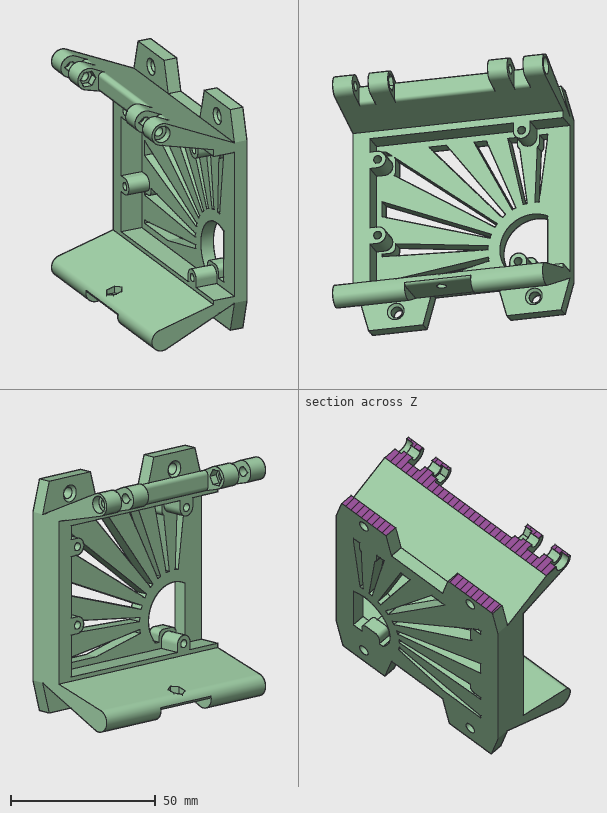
import cadquery as cq
import math


width = 76.0
height = 85.0
depth = 37.0
half_width = width / 2

block_depth = 13.0
block_back_half_height = 30.0
block_front_half_height = 29.0
floor_thick = 4.9

tip_radius = 4.0
tip_y = tip_radius - depth
tip_z = height / 2 - tip_radius
outer_root = (-floor_thick, block_back_half_height)
inner_root = (-block_depth, block_front_half_height)
outer_side = 1
inner_side = -1

knuckle_width = 7.1
knuckle_gap = 5.7
gap_outer_x = half_width - knuckle_width
gap_inner_x = gap_outer_x - knuckle_gap
inner_knuckle_end_x = gap_inner_x - knuckle_width
recess_tip_radius = 1.6
recess_tip_y = -27.4

tab_base_width = 26.0
tab_top_width = 19.7
tab_top_z = 41.3
tab_thick = floor_thick
tab_hole_diameter = 4.0
tab_hole_z = 35.3
tab_countersink_diameter = 6.0
tab_countersink_depth = (tab_countersink_diameter - tab_hole_diameter) / 2

screw_hole_radius = 1.7
seat_diameter = 6.0
hinge_seat_depth = 3.0
latch_screw_y = -32.1
latch_nut_floor_z = -36.2

slot_half_width = half_width - tab_base_width
slot_ceiling_z = -38.6
slot_lip_radius = 1.4
slot_lip_y = -36.9
slot_back_y = -22.1

pocket_left_x = -31.9
pocket_bottom_z = -27.45
pocket_top_z = 26.4
window_half_width = 29.9
window_bottom_z = -25.1
window_top_z = 24.1

boss_diameter = 6.0
boss_hole_diameter = 2.8
boss_pad_size = 8.1
boss_pad_corner = 2.0
bosses = [
    (-29.1, 18.4, -1, 0),
    (-29.1, -9.5, -1, 0),
    (23.0, 23.45, 0, 1),
    (21.75, -24.8, 0, -1),
]

sun_x = 24.65
sun_z = -16.8
sun_radius = 12.0
ray_inner_radius = 16.3
ray_outer_radius = 80.7
ray_spread_deg = 5.1
ray_first_deg = -10
ray_step_deg = 15
ray_count = 8

margin = 0.85


def box(x0, x1, y0, y1, z0, z1):
    """Axis-aligned box between two corners."""
    return cq.Workplane("XY").box(x1 - x0, y1 - y0, z1 - z0, centered=False).translate((x0, y0, z0))


def along_x(outline, x0, x1):
    """Extrude a YZ outline from x0 to x1."""
    return outline.extrude(x1 - x0).translate((x0, 0, 0))


def front_plane(y):
    """XZ plane at the given Y; positive extrusion goes towards -Y."""
    return cq.Workplane("XZ", origin=(0, y, 0))


def tangent_point(point, centre, radius, side):
    """Point where a line from `point` touches a circle; `side` picks one of the two."""
    dy = point[0] - centre[0]
    dz = point[1] - centre[1]
    angle = math.atan2(dz, dy) + side * math.acos(radius / math.hypot(dy, dz))
    return (centre[0] + radius * math.cos(angle), centre[1] + radius * math.sin(angle))


def set_back_z(root, side):
    """Height where the small tip circle touches the arm face that starts at `root`."""
    touch_y, touch_z = tangent_point(root, (tip_y, tip_z), tip_radius, side)
    normal_y = (touch_y - tip_y) / tip_radius
    normal_z = (touch_z - tip_z) / tip_radius
    return root[1] - (recess_tip_radius + normal_y * (recess_tip_y - root[0])) / normal_z


def upper_arm(x0, x1, y, low_z, high_z, radius):
    """Block half and arm, with a tip wrapped around a low and a high circle centre."""
    diagonal = radius * math.sqrt(0.5)
    outline = (
        cq.Workplane("YZ")
        .moveTo(0, block_back_half_height)
        .lineTo(*outer_root)
        .lineTo(*tangent_point(outer_root, (y, high_z), radius, outer_side))
        .threePointArc((y - diagonal, high_z + diagonal), (y - radius, high_z))
    )
    if high_z > low_z:
        outline = outline.lineTo(y - radius, low_z)
    outline = (
        outline.threePointArc(
            (y - diagonal, low_z - diagonal),
            tangent_point(inner_root, (y, low_z), radius, inner_side),
        )
        .lineTo(*inner_root)
        .lineTo(-block_depth, 0)
        .lineTo(0, 0)
        .close()
    )
    return along_x(outline, x0, x1)


def knuckle_arm(x0, x1):
    """Arm with the full round tip."""
    return upper_arm(x0, x1, tip_y, tip_z, tip_z, tip_radius)


def recessed_arm(x0, x1):
    """Arm with the same faces, ending in a flat front with two rounded edges."""
    low_z = set_back_z(inner_root, inner_side)
    high_z = set_back_z(outer_root, outer_side)
    return upper_arm(x0, x1, recess_tip_y, low_z, high_z, recess_tip_radius)


def frame():
    """Block with the upper hinge arm and the plain lower arm."""
    body = knuckle_arm(-half_width, half_width).mirror("XY")
    body = body.union(recessed_arm(-inner_knuckle_end_x, inner_knuckle_end_x))
    for side in (
        knuckle_arm(inner_knuckle_end_x, gap_inner_x),
        recessed_arm(gap_inner_x, gap_outer_x),
        knuckle_arm(gap_outer_x, half_width),
    ):
        body = body.union(side).union(side.mirror("YZ"))
    return body


def tab(side_x, side_z):
    """Tapered mounting tab with a countersunk hole."""
    centre_x = side_x * (half_width - tab_base_width / 2)
    root_z = side_z * block_back_half_height
    base = tab_base_width / 2
    top = tab_top_width / 2
    body = (
        front_plane(0)
        .polyline([
            (centre_x - base, root_z),
            (centre_x + base, root_z),
            (centre_x + top, side_z * tab_top_z),
            (centre_x - top, side_z * tab_top_z),
        ])
        .close()
        .extrude(tab_thick)
    )
    hole_at = (centre_x, side_z * tab_hole_z)
    bore = front_plane(0).center(*hole_at).circle(tab_hole_diameter / 2).extrude(tab_thick)
    countersink = (
        front_plane(-tab_thick)
        .center(*hole_at)
        .circle(tab_countersink_diameter / 2)
        .workplane(offset=-tab_countersink_depth)
        .circle(tab_hole_diameter / 2)
        .loft()
    )
    return body.cut(bore).cut(countersink)


def board_pocket():
    """Recess for the board, down to the thin floor."""
    return box(
        pocket_left_x, half_width + margin,
        -block_depth - margin, -floor_thick,
        pocket_bottom_z, pocket_top_z,
    )


def sun_openings():
    """Round hole and fan of rays, trimmed to the window rectangle and kept off the bosses."""
    cutter = front_plane(0).center(sun_x, sun_z).circle(sun_radius).extrude(floor_thick)
    half_spread = math.radians(ray_spread_deg / 2)
    for index in range(ray_count):
        angle = ray_first_deg + index * ray_step_deg
        inner = ray_inner_radius * math.tan(half_spread)
        outer = ray_outer_radius * math.tan(half_spread)
        ray = (
            front_plane(0)
            .polyline([
                (-ray_inner_radius, -inner),
                (-ray_outer_radius, -outer),
                (-ray_outer_radius, outer),
                (-ray_inner_radius, inner),
            ])
            .close()
            .extrude(floor_thick)
            .rotate((0, 0, 0), (0, 1, 0), angle)
            .translate((sun_x, 0, sun_z))
        )
        cutter = cutter.union(ray)
    window = box(
        -window_half_width, window_half_width, -floor_thick, 0, window_bottom_z, window_top_z
    )
    cutter = cutter.intersect(window)
    for x, z, _, _ in bosses:
        pad = (
            front_plane(0)
            .center(x, z)
            .rect(boss_pad_size, boss_pad_size)
            .extrude(floor_thick)
            .edges("|Y")
            .fillet(boss_pad_corner)
        )
        cutter = cutter.cut(pad)
    return cutter


def boss(x, z, wall_x, wall_z):
    """Stand-off flush with the block front, carried straight into the nearby wall."""
    length = block_depth - floor_thick
    radius = boss_diameter / 2
    post = front_plane(-floor_thick).center(x, z).circle(radius).extrude(length)
    web = (
        front_plane(-floor_thick)
        .center(x + wall_x * radius / 2, z + wall_z * radius / 2)
        .rect(radius if wall_x else boss_diameter, radius if wall_z else boss_diameter)
        .extrude(length)
    )
    return post.union(web)


def boss_hole(x, z):
    """Blind screw hole, as deep as the stand-off is long."""
    length = block_depth - floor_thick
    return front_plane(-floor_thick).center(x, z).circle(boss_hole_diameter / 2).extrude(length)


def teardrop(workplane):
    """Round outline with a right-angled point towards local -x, which is -Y on the part."""
    touch = screw_hole_radius * math.sqrt(0.5)
    return (
        workplane.moveTo(-touch, touch)
        .threePointArc((screw_hole_radius, 0), (-touch, -touch))
        .lineTo(-screw_hole_radius * math.sqrt(2), 0)
        .close()
    )


def hinge_holes():
    """Pin bore through all knuckles, head seats outside and nut seats inside."""
    pin_plane = cq.Workplane("YZ").center(tip_y, tip_z)
    cutter = along_x(teardrop(pin_plane), -half_width, half_width)
    head = cq.Workplane("YZ").center(tip_y, tip_z).circle(seat_diameter / 2)
    head = along_x(head, half_width - hinge_seat_depth, half_width)
    nut = cq.Workplane("YZ").center(tip_y, tip_z).polygon(6, seat_diameter)
    nut = along_x(nut, inner_knuckle_end_x, inner_knuckle_end_x + hinge_seat_depth)
    for seat in (head, nut):
        cutter = cutter.union(seat).union(seat.mirror("YZ"))
    return cutter


def latch_screw_hole():
    """Vertical screw bore through the lower tip with a nut seat open at the top."""
    def plane_at(z):
        return cq.Workplane("XY", origin=(0, latch_screw_y, z)).transformed(rotate=(0, 0, 90))

    length = tip_radius * 2
    bore = teardrop(plane_at(-height / 2)).extrude(length)
    nut = plane_at(latch_nut_floor_z).polygon(6, seat_diameter).extrude(length)
    return bore.union(nut)


def latch_slot():
    """Slot below the lower tip that leaves a rounded lip at the front."""
    lip_top_z = slot_ceiling_z + slot_lip_radius
    diagonal = slot_lip_radius * math.sqrt(0.5)
    lip_centre_y = slot_lip_y + slot_lip_radius
    outline = (
        cq.Workplane("YZ")
        .moveTo(slot_back_y, slot_ceiling_z)
        .lineTo(lip_centre_y, slot_ceiling_z)
        .threePointArc((lip_centre_y - diagonal, lip_top_z - diagonal), (slot_lip_y, lip_top_z))
        .lineTo(-depth - margin, lip_top_z)
        .lineTo(-depth - margin, -height / 2 - margin)
        .lineTo(slot_back_y, -height / 2 - margin)
        .close()
    )
    return along_x(outline, -slot_half_width, slot_half_width)


result = frame().cut(board_pocket())
for side_x in (-1, 1):
    for side_z in (-1, 1):
        result = result.union(tab(side_x, side_z))
result = result.cut(sun_openings())
for x, z, wall_x, wall_z in bosses:
    result = result.union(boss(x, z, wall_x, wall_z))
for x, z, _, _ in bosses:
    result = result.cut(boss_hole(x, z))
result = result.cut(hinge_holes()).cut(latch_screw_hole()).cut(latch_slot())